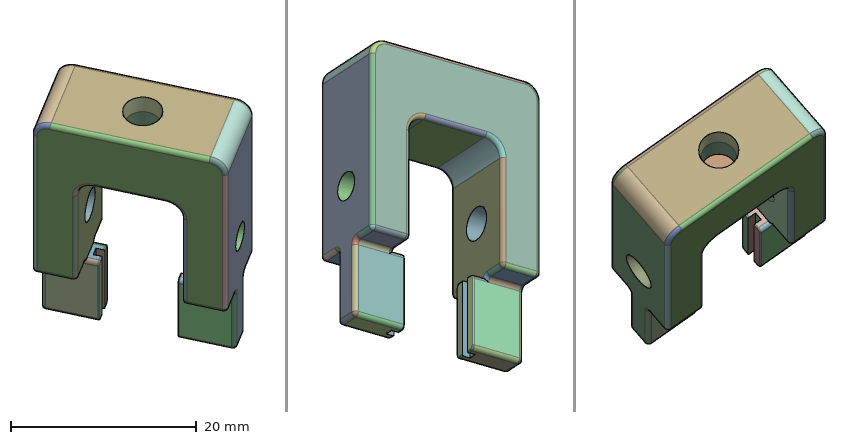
import cadquery as cq

width = 21.9
depth = 10.0
height = 32.0
leg_height = 9.0
leg_thickness = 3.2
leg_gap = 8.83

opening_width = 11.85
bridge_height = 8.0
corner_radius = 2.0
edge_radius = 0.5

groove_width = 1.0
groove_depth = 1.0
leg_end_radius = 0.15

insert_mouth_diameter = 4.32
insert_diameter = 3.9
insert_taper_depth = 2.0
top_hole_depth = 5.0
cross_hole_diameter = 3.3
cross_hole_height = 16.0

arm_thickness = (width - opening_width) / 2
leg_end_length = (opening_width - leg_gap) / 2 + 2 * edge_radius
yoke_height = height - leg_height
opening_height = yoke_height - bridge_height


def box_on(x_size, y_size, z_size, x_center, z_bottom):
    """Box centred in Y, standing on the given height."""
    box = cq.Workplane("XY").box(x_size, y_size, z_size, centered=(True, True, False))
    return box.translate((x_center, 0, z_bottom))


def make_yoke():
    """Block with rounded top corners and a round-cornered opening between the arms."""
    block = box_on(width, depth, yoke_height, 0, leg_height)
    block = block.edges("|Y and >Z").fillet(corner_radius)
    opening = box_on(opening_width, depth, opening_height, 0, leg_height)
    opening = opening.edges("|Y and >Z").fillet(corner_radius)
    return block.cut(opening)


def make_frame():
    """Yoke with a leg core flush under each arm, all edges and leg roots rounded alike."""
    frame = make_yoke()
    for side in (-1, 1):
        x_center = side * (width - arm_thickness) / 2
        frame = frame.union(box_on(arm_thickness, leg_thickness, leg_height, x_center, 0))
    return frame.edges().fillet(edge_radius)


def make_leg_end(side):
    """Inner end of one leg, reaching past the arm; side is -1 for left, 1 for right."""
    x_center = side * (leg_gap + leg_end_length) / 2
    leg_end = box_on(leg_end_length, leg_thickness, leg_height, x_center, 0)
    leg_end = leg_end.edges("|X").fillet(edge_radius)
    inner_face = "<X" if side > 0 else ">X"
    leg_end = leg_end.faces(inner_face).edges("|Z").fillet(leg_end_radius)
    groove_center = side * (leg_gap + groove_depth) / 2
    return leg_end.cut(box_on(groove_depth, groove_width, leg_height, groove_center, 0))


def make_insert_hole(hole_depth):
    """Insert hole opening at the origin and running along +Z: a taper, then a straight bore."""
    profile = [
        (0, 0),
        (insert_mouth_diameter / 2, 0),
        (insert_diameter / 2, insert_taper_depth),
        (insert_diameter / 2, hole_depth),
        (0, hole_depth),
    ]
    return cq.Workplane("XZ").polyline(profile).close().revolve(360, (0, 0, 0), (0, 1, 0))


def make_right_arm_hole():
    """Plain hole along X through the right arm, with a rounded mouth in the opening."""
    inner_face = opening_width / 2
    bore_radius = cross_hole_diameter / 2
    mouth_radius = bore_radius + edge_radius
    hole = (
        cq.Workplane("XY")
        .moveTo(inner_face, 0)
        .lineTo(inner_face, mouth_radius)
        .radiusArc((inner_face + edge_radius, bore_radius), -edge_radius)
        .lineTo(width / 2, bore_radius)
        .lineTo(width / 2, 0)
        .close()
        .revolve(360, (0, 0, 0), (1, 0, 0))
    )
    return hole.translate((0, 0, cross_hole_height))


body = make_frame()
for side in (-1, 1):
    body = body.union(make_leg_end(side))

top_hole = (
    make_insert_hole(top_hole_depth)
    .rotate((0, 0, 0), (1, 0, 0), 180)
    .translate((0, 0, height))
)
left_hole = (
    make_insert_hole(arm_thickness)
    .rotate((0, 0, 0), (0, 1, 0), 90)
    .translate((-width / 2, 0, cross_hole_height))
)

result = body.cut(top_hole).cut(left_hole).cut(make_right_arm_hole())